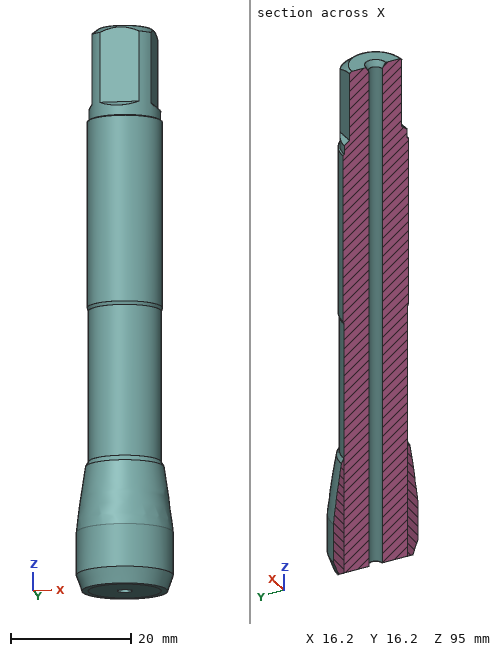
import cadquery as cq

LENGTH = 95.0
BORE_DIAMETER = 2.5

LOWER_DIAMETER = 12.2
UPPER_DIAMETER = 12.5
DRIVE_DIAMETER = 12.0
STEP_BOTTOM = 47.4
STEP_TOP = 48.0
SHOULDER_TOP = 79.6
SHOULDER_BEVEL_HEIGHT = 0.2
TIP_DIAMETER = 9.1
TIP_BEVEL_HEIGHT = 1.1

SQUARE_SIDE = 10.0
FLAT_BOTTOM = 82.0
FLAT_RUNOUT_HEIGHT = 0.8
COUNTERSINK_DIAMETER = 3.7
COUNTERSINK_DEPTH = 1.0

COLLAR_DIAMETER = 16.15
COLLAR_BASE_DIAMETER = 14.25
COLLAR_RIM_DIAMETER = 13.1
COLLAR_BASE_BEVEL_HEIGHT = 2.7
COLLAR_BAND_TOP = 9.9
COLLAR_RIM_HEIGHT = 21.0
COLLAR_TOP = 21.85
FLARE_BULGE = 0.1


def revolve_profile(profile):
    """Turn a closed radius-height outline about the Z axis."""
    return profile.close().revolve(360, (0, 0, 0), (0, 1, 0))


def make_blank():
    """Turned shaft before the flats and the bore are cut."""
    profile = (
        cq.Workplane("XZ")
        .lineTo(LOWER_DIAMETER / 2, 0)
        .lineTo(LOWER_DIAMETER / 2, STEP_BOTTOM)
        .lineTo(UPPER_DIAMETER / 2, STEP_TOP)
        .lineTo(UPPER_DIAMETER / 2, SHOULDER_TOP - SHOULDER_BEVEL_HEIGHT)
        .lineTo(DRIVE_DIAMETER / 2, SHOULDER_TOP)
        .lineTo(DRIVE_DIAMETER / 2, LENGTH - TIP_BEVEL_HEIGHT)
        .lineTo(TIP_DIAMETER / 2, LENGTH)
        .lineTo(0, LENGTH)
    )
    return revolve_profile(profile)


def make_flat_cutter():
    """Material outside the +X flat, with a sloped runout at its foot."""
    inner = SQUARE_SIDE / 2
    outer = DRIVE_DIAMETER / 2
    return (
        cq.Workplane("XZ")
        .moveTo(inner, LENGTH)
        .lineTo(inner, FLAT_BOTTOM)
        .lineTo(outer, FLAT_BOTTOM - FLAT_RUNOUT_HEIGHT)
        .lineTo(outer, LENGTH)
        .close()
        .extrude(DRIVE_DIAMETER / 2, both=True)
    )


def make_bore():
    """Through bore with a countersunk mouth at the drive end."""
    profile = (
        cq.Workplane("XZ")
        .lineTo(BORE_DIAMETER / 2, 0)
        .lineTo(BORE_DIAMETER / 2, LENGTH - COUNTERSINK_DEPTH)
        .lineTo(COUNTERSINK_DIAMETER / 2, LENGTH)
        .lineTo(0, LENGTH)
    )
    return revolve_profile(profile)


def make_shaft():
    shaft = make_blank().cut(make_bore())
    for angle in (0, 90, 180, 270):
        cutter = make_flat_cutter().rotate((0, 0, 0), (0, 0, 1), angle)
        shaft = shaft.cut(cutter)
    return shaft


def make_collar():
    """Flared collar whose bore fits the lower part of the shaft."""
    flare_middle = (
        (COLLAR_DIAMETER + COLLAR_RIM_DIAMETER) / 4 + FLARE_BULGE,
        (COLLAR_BAND_TOP + COLLAR_RIM_HEIGHT) / 2,
    )
    profile = (
        cq.Workplane("XZ")
        .moveTo(LOWER_DIAMETER / 2, 0)
        .lineTo(COLLAR_BASE_DIAMETER / 2, 0)
        .lineTo(COLLAR_DIAMETER / 2, COLLAR_BASE_BEVEL_HEIGHT)
        .lineTo(COLLAR_DIAMETER / 2, COLLAR_BAND_TOP)
        .threePointArc(flare_middle, (COLLAR_RIM_DIAMETER / 2, COLLAR_RIM_HEIGHT))
        .lineTo(LOWER_DIAMETER / 2, COLLAR_TOP)
    )
    return revolve_profile(profile)


shaft = make_shaft()
collar = make_collar()

result = cq.Compound.makeCompound([shaft.val(), collar.val()])